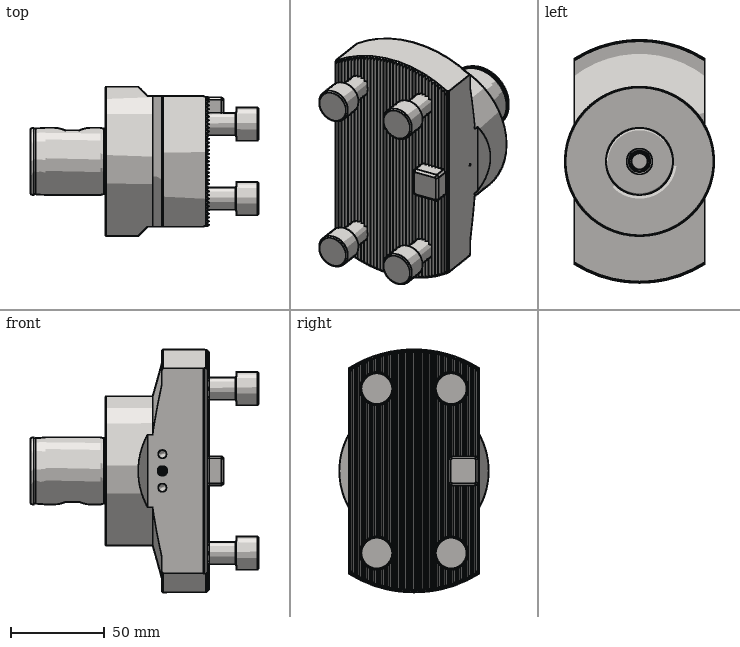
import cadquery as cq
import math


shank_diameter = 36.0
shank_radius = shank_diameter / 2
shank_nose_fillet = 1.4
seal_groove_start = 2.0
seal_groove_width = 0.9
seal_groove_depth = 0.5
lead_in_radius = 17.7
lead_in_end = 8.0
neck_start = 37.6
neck_taper_length = 1.0
neck_radius = 17.7
undercut_start = 39.4
undercut_radius = 17.2

notch_center = 22.5
notch_floor_length = 7.5
notch_floor_height = 7.0
notch_direction = -45

collar_face = 40.0
collar_diameter = 80.0
collar_radius = collar_diameter / 2
collar_edge_chamfer = 0.5
collar_back = 65.4
face_recess_radius = 19.9
face_recess_depth = 0.5

flange_radius = 65
flange_front = 70.2
flange_front_chamfer = 0.8
flange_back = 95.5
flange_back_chamfer = 1.7
cone_outer_radius = 57.5
flat_half_width = 35.0
flat_start = 62.7
edge_step_start = 92.5
edge_step_end = 93.2
edge_step_depth = 0.4

tooth_count = 35
tooth_pitch = 2 * flat_half_width / tooth_count
tooth_depth = 1.5
tooth_angle = 60

bore_radius = 5.7
bore_mouth_radius = 6.9
bore_mouth_depth = 2.0
plug_front = 26
plug_length = 13
plug_radius = 5.2
plug_chamfer = 0.9

side_hole_x = 70.6
side_hole_spacing = 9.0
side_hole_radius = 2.2
side_hole_depth = 7.8
drill_tip_angle = 118
nozzle_radius = 2.6
nozzle_length = 6.5
nozzle_chamfer = 0.6
nozzle_mouth_radius = 1.2
nozzle_mouth_depth = 0.8
nozzle_bore_radius = 0.5

screw_y = 19.9
screw_z = 44.0
screw_radius = 6.0
screw_head_radius = 9.0
screw_head_start = 110.1
screw_head_end = 122.1
screw_head_chamfer = 0.8
screw_neck_fillet = 0.6
screw_seat_depth = 19.5

key_width = 15.9
key_top_y = 34.3
key_end = 103.5
key_chamfer = 1.3
key_seat_depth = 5.2


def cylinder_x(radius, start, end, y=0, z=0):
    """Cylinder parallel to X between two X positions."""
    plane = cq.Workplane("YZ", origin=(start, y, z))
    return plane.circle(radius).extrude(end - start)


def cone_frustum(base_radius, top_radius, height, point, direction):
    """Cone frustum whose wide end sits at the given point."""
    return cq.Workplane(
        cq.Solid.makeCone(base_radius, top_radius, height, cq.Vector(*point), cq.Vector(*direction))
    )


def turned_blank():
    """Shank, collar, cone and round flange as one revolved profile."""
    groove_floor = shank_radius - seal_groove_depth
    groove_end = seal_groove_start + seal_groove_width
    recess_floor = collar_face + face_recess_depth
    fillet_mid = shank_nose_fillet * math.sqrt(0.5)
    profile = (
        cq.Workplane("XY")
        .lineTo(0, shank_radius - shank_nose_fillet)
        .threePointArc(
            (shank_nose_fillet - fillet_mid, shank_radius - shank_nose_fillet + fillet_mid),
            (shank_nose_fillet, shank_radius),
        )
        .lineTo(seal_groove_start, shank_radius)
        .lineTo(seal_groove_start, groove_floor)
        .lineTo(groove_end, groove_floor)
        .lineTo(groove_end, lead_in_radius)
        .lineTo(lead_in_end, shank_radius)
        .lineTo(neck_start, shank_radius)
        .lineTo(neck_start + neck_taper_length, neck_radius)
        .lineTo(undercut_start, neck_radius)
        .lineTo(recess_floor, undercut_radius)
        .lineTo(collar_face, face_recess_radius)
        .lineTo(collar_face, collar_radius - collar_edge_chamfer)
        .lineTo(collar_face + collar_edge_chamfer, collar_radius)
        .lineTo(collar_back, collar_radius)
        .lineTo(flange_front, cone_outer_radius)
        .lineTo(flange_front, flange_radius - flange_front_chamfer)
        .lineTo(flange_front + flange_front_chamfer, flange_radius)
        .lineTo(flange_back - flange_back_chamfer, flange_radius)
        .lineTo(flange_back, flange_radius - flange_back_chamfer)
        .lineTo(flange_back, 0)
        .close()
    )
    return profile.revolve(360, (0, 0, 0), (1, 0, 0))


def plan_envelope():
    """Prism along Z: 45 degree collar cuts, side flats and the serrated back."""
    shoulder_start = flat_start - (collar_radius - flat_half_width)
    step_half_width = flat_half_width - edge_step_depth
    tooth_root = flange_back - tooth_depth
    flank_slope = math.tan(math.radians(tooth_angle / 2))
    tooth_half_base = tooth_depth * flank_slope
    outer_tip_y = (tooth_count - 1) / 2 * tooth_pitch
    edge_x = flange_back - (step_half_width - outer_tip_y) / flank_slope
    side = [
        (0, collar_radius),
        (shoulder_start, collar_radius),
        (flat_start, flat_half_width),
        (edge_step_start, flat_half_width),
        (edge_step_end, step_half_width),
        (edge_x, step_half_width),
    ]
    teeth = []
    for i in range(tooth_count):
        tip_y = outer_tip_y - i * tooth_pitch
        if i > 0:
            teeth.append((tooth_root, tip_y + tooth_half_base))
        teeth.append((flange_back, tip_y))
        if i < tooth_count - 1:
            teeth.append((tooth_root, tip_y - tooth_half_base))
    mirrored_side = [(x, -y) for x, y in reversed(side)]
    outline = cq.Workplane("XY").polyline(side + teeth + mirrored_side).close()
    return outline.extrude(flange_radius, both=True)


def clamping_notch():
    """Trapezoidal cut across the shank with 45 degree end walls."""
    height = shank_radius - notch_floor_height
    half_floor = notch_floor_length / 2
    half_top = half_floor + height
    notch = (
        cq.Workplane("XZ")
        .polyline([
            (notch_center - half_floor, notch_floor_height),
            (notch_center + half_floor, notch_floor_height),
            (notch_center + half_top, shank_radius),
            (notch_center - half_top, shank_radius),
        ])
        .close()
        .extrude(shank_radius, both=True)
    )
    return notch.rotate((0, 0, 0), (1, 0, 0), -90 + notch_direction)


def central_bore():
    """Bore for the plug with a stepped floor and a tapered mouth."""
    bore = cylinder_x(bore_radius, 0, plug_front)
    plug_seat = cylinder_x(plug_radius, plug_front, plug_front + plug_length)
    mouth = cone_frustum(bore_mouth_radius, bore_radius, bore_mouth_depth, (0, 0, 0), (1, 0, 0))
    return bore.union(plug_seat).union(mouth)


def side_hole(z):
    """Drilled blind hole with a conical tip in the -Y flat."""
    tip_depth = side_hole_radius / math.tan(math.radians(drill_tip_angle / 2))
    hole = (
        cq.Workplane("XZ", origin=(side_hole_x, -flat_half_width, z))
        .circle(side_hole_radius)
        .extrude(-side_hole_depth)
    )
    tip_start = (side_hole_x, side_hole_depth - flat_half_width, z)
    return hole.union(cone_frustum(side_hole_radius, 0, tip_depth, tip_start, (0, 1, 0)))


def nozzle_blank():
    """Plain cylinder that fills the nozzle seat."""
    plane = cq.Workplane("XZ", origin=(side_hole_x, -flat_half_width, 0))
    return plane.circle(nozzle_radius).extrude(-nozzle_length)


def coolant_hole():
    """Fine hole along Y through the whole flange and the nozzle."""
    plane = cq.Workplane("XZ", origin=(side_hole_x, 0, 0))
    return plane.circle(nozzle_bore_radius).extrude(flat_half_width, both=True)


def make_nozzle():
    """Nozzle flush with the flat, countersunk around its fine hole."""
    mouth = cone_frustum(
        nozzle_mouth_radius,
        nozzle_bore_radius,
        nozzle_mouth_depth,
        (side_hole_x, -flat_half_width, 0),
        (0, 1, 0),
    )
    return nozzle_blank().faces("<Y").chamfer(nozzle_chamfer).cut(mouth).cut(coolant_hole())


def make_plug():
    """Round plug with a chamfered front end."""
    plug = cylinder_x(plug_radius, plug_front, plug_front + plug_length)
    return plug.faces("<X").chamfer(plug_chamfer)


def make_screw(y, z):
    """Cap screw seated in the flange with its head towards +X."""
    shank = cylinder_x(screw_radius, flange_back - screw_seat_depth, screw_head_start, y, z)
    head = cylinder_x(screw_head_radius, screw_head_start, screw_head_end, y, z)
    head = head.faces(">X").chamfer(screw_head_chamfer)
    neck = cone_frustum(
        screw_radius + screw_neck_fillet,
        screw_radius,
        screw_neck_fillet,
        (screw_head_start, y, z),
        (-1, 0, 0),
    )
    return shank.union(neck).union(head)


def make_key():
    """Square block from the seat floor to the free end, with chamfered edges."""
    start = flange_back - key_seat_depth
    plane = cq.Workplane("YZ", origin=(start, key_top_y - key_width / 2, 0))
    block = plane.rect(key_width, key_width).extrude(key_end - start)
    return block.edges("|X").chamfer(key_chamfer).faces(">X").chamfer(key_chamfer)


def make_housing(screws, key):
    """Turned and milled body with seats for every fitted part."""
    housing = turned_blank().intersect(plan_envelope())
    housing = housing.cut(clamping_notch()).cut(central_bore())
    for side in (-1, 1):
        housing = housing.cut(side_hole(side * side_hole_spacing))
    housing = housing.cut(nozzle_blank()).cut(coolant_hole())
    for screw in screws:
        housing = housing.cut(screw)
    return housing.cut(key)


screws = [make_screw(y, z) for y in (-screw_y, screw_y) for z in (-screw_z, screw_z)]
key = make_key()
plug = make_plug()
nozzle = make_nozzle()
housing = make_housing(screws, key)

result = cq.Compound.makeCompound([
    housing.val(),
    plug.val(),
    nozzle.val(),
    key.val(),
    *[screw.val() for screw in screws],
])